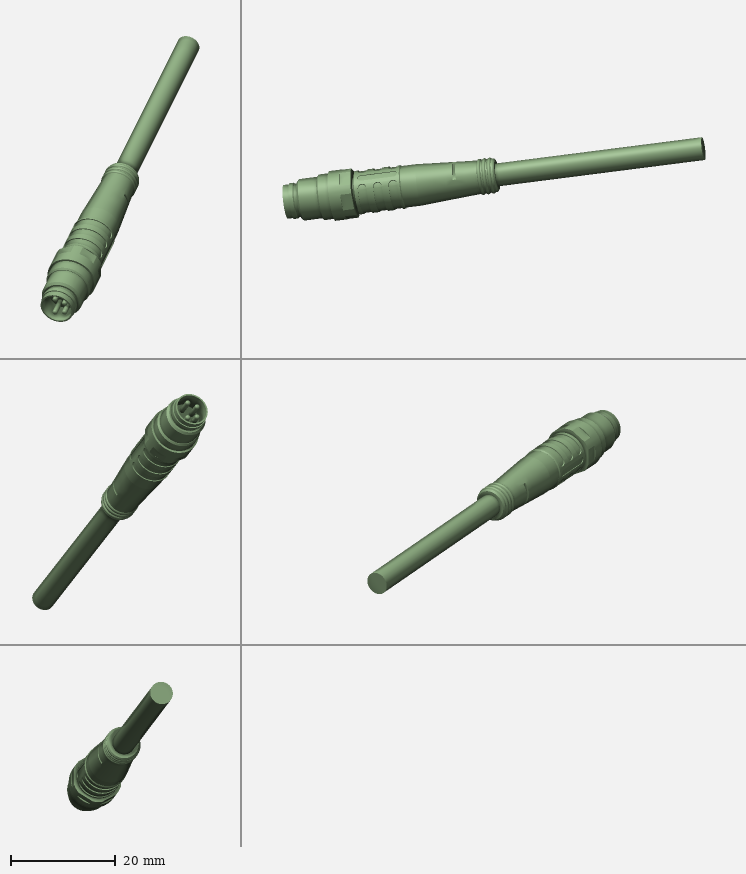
import math

import cadquery as cq


PIN_D = 1.0
PIN_TIP_FILLET = 0.4
PIN_RECESS = 0.3
PIN_CENTRES = [(-0.55, 1.6), (1.35, 1.1), (1.35, -1.1), (-0.55, -1.6)]

NOSE_D = 6.5
NOSE_END = 2.75
BORE_D = 5.9
BORE_DEPTH = 4.0
SEAL_D = 6.9
SEAL_START = 1.2
SEAL_END = 2.15
SEAL_CHAMFER = 0.19

SLEEVE_D = 8.0
SLEEVE_END = 6.75
SLEEVE_CHAMFER = 0.4
COLLAR_D = 8.8
COLLAR_END = 9.1
COLLAR_CHAMFER = 0.3

RING_D = 9.6
RING_END = 13.5
FLAT_COUNT = 6
FLAT_LENGTH = 2.15
FLAT_WIDTH = 3.2
NECK_D = 5.9

GRIP_START = 14.05
GRIP_END = 23.05
GRIP_D = 8.4
GRIP_CHAMFER = 0.19
GROOVE_FLOOR_D = 8.0
GROOVE_COUNT = 3
GROOVE_WIDTH = 1.7
GROOVE_PITCH = 3.0
FIRST_GROOVE = 15.6
GROOVE_END_HEIGHT = 1.35
SLOT_WIDTH = 1.3

HANDLE_D = 8.0
HANDLE_END = 26.1
TAPER_END = 37.4
NOTCH_STATION = 33.4
NOTCH_WIDTH = 0.6
NOTCH_FLOOR = 2.75

TAIL_D = 6.5
TAIL_END = 41.2
TAIL_CHAMFER = 0.3
BEAD_D = 6.95
BEAD_COUNT = 3
BEAD_PITCH = 1.0
BEAD_LENGTH = 0.7
FIRST_BEAD = 37.8
CABLE_D = 4.4
CABLE_END = 81.4


def bar(start, end, diameter):
    """Round bar on the axis between two stations."""
    return cq.Workplane("XZ", origin=(0, start, 0)).circle(diameter / 2).extrude(start - end)


def make_front():
    seal = bar(SEAL_START, SEAL_END, SEAL_D).faces(">Y").chamfer(SEAL_CHAMFER)
    nose = bar(0, NOSE_END, NOSE_D).union(seal)
    sleeve = bar(NOSE_END, SLEEVE_END, SLEEVE_D).faces("<Y").chamfer(SLEEVE_CHAMFER)
    collar = bar(SLEEVE_END, COLLAR_END, COLLAR_D).faces("<Y").chamfer(COLLAR_CHAMFER)
    return nose.union(sleeve).union(collar).cut(bar(0, BORE_DEPTH, BORE_D))


def make_pins():
    pins = (
        cq.Workplane("XZ", origin=(0, BORE_DEPTH, 0))
        .pushPoints(PIN_CENTRES)
        .circle(PIN_D / 2)
        .extrude(BORE_DEPTH - PIN_RECESS)
    )
    return pins.faces("<Y").edges().fillet(PIN_TIP_FILLET)


def make_ring():
    ring = bar(COLLAR_END, RING_END, RING_D)
    flat_offset = math.sqrt((RING_D / 2) ** 2 - (FLAT_WIDTH / 2) ** 2)
    cutter = cq.Workplane("XY").box(RING_D, FLAT_LENGTH, RING_D)
    cutter = cutter.translate((flat_offset + RING_D / 2, RING_END - FLAT_LENGTH / 2, 0))
    for i in range(FLAT_COUNT):
        ring = ring.cut(cutter.rotate((0, 0, 0), (0, 1, 0), i * 360 / FLAT_COUNT))
    return ring.union(bar(RING_END, GRIP_START, NECK_D))


def make_cross_grooves():
    """Shallow bands over the top and underside, with rounded ends toward each side."""
    outlines = [
        (FIRST_GROOVE + i * GROOVE_PITCH, side * (GROOVE_END_HEIGHT + GRIP_D / 2))
        for i in range(GROOVE_COUNT)
        for side in (1, -1)
    ]
    grooves = (
        cq.Workplane("YZ")
        .pushPoints(outlines)
        .slot2D(GRIP_D, GROOVE_WIDTH, 90)
        .extrude(GRIP_D, both=True)
    )
    return grooves.cut(bar(GRIP_START, GRIP_END, GROOVE_FLOOR_D))


def make_side_slots():
    span = (GROOVE_COUNT - 1) * GROOVE_PITCH
    slots = (
        cq.Workplane("YZ")
        .center(FIRST_GROOVE + span / 2, 0)
        .slot2D(span + GROOVE_WIDTH, SLOT_WIDTH)
        .extrude(GRIP_D, both=True)
    )
    core = cq.Workplane("XY").box(GROOVE_FLOOR_D, 2 * GRIP_END, GRIP_D)
    return slots.cut(core)


def make_grip():
    grip = bar(GRIP_START, GRIP_END, GRIP_D).faces(">Y").chamfer(GRIP_CHAMFER)
    return grip.cut(make_cross_grooves()).cut(make_side_slots())


def make_handle():
    handle = (
        cq.Workplane("XY")
        .moveTo(0, GRIP_END)
        .lineTo(HANDLE_D / 2, GRIP_END)
        .lineTo(HANDLE_D / 2, HANDLE_END)
        .lineTo(TAIL_D / 2, TAPER_END)
        .lineTo(0, TAPER_END)
        .close()
        .revolve(360, (0, 0, 0), (0, 1, 0))
    )
    for side in (1, -1):
        notch = cq.Workplane("XY").box(HANDLE_D, NOTCH_WIDTH, HANDLE_D)
        handle = handle.cut(notch.translate((side * (NOTCH_FLOOR + HANDLE_D / 2), NOTCH_STATION, 0)))
    return handle


def make_tail():
    root = TAIL_D / 2
    profile = cq.Workplane("XY").moveTo(0, FIRST_BEAD)
    for i in range(BEAD_COUNT):
        start = FIRST_BEAD + i * BEAD_PITCH
        crest = (BEAD_D / 2, start + BEAD_LENGTH / 2)
        profile = profile.lineTo(root, start).threePointArc(crest, (root, start + BEAD_LENGTH))
    beads_end = FIRST_BEAD + (BEAD_COUNT - 1) * BEAD_PITCH + BEAD_LENGTH
    beads = profile.lineTo(0, beads_end).close().revolve(360, (0, 0, 0), (0, 1, 0))
    root_bar = bar(TAPER_END, TAIL_END, TAIL_D).faces(">Y").edges().chamfer(TAIL_CHAMFER)
    return root_bar.union(beads).union(bar(TAIL_END, CABLE_END, CABLE_D))


result = make_front().union(make_pins()).union(make_ring()).union(make_grip())
result = result.union(make_handle()).union(make_tail())